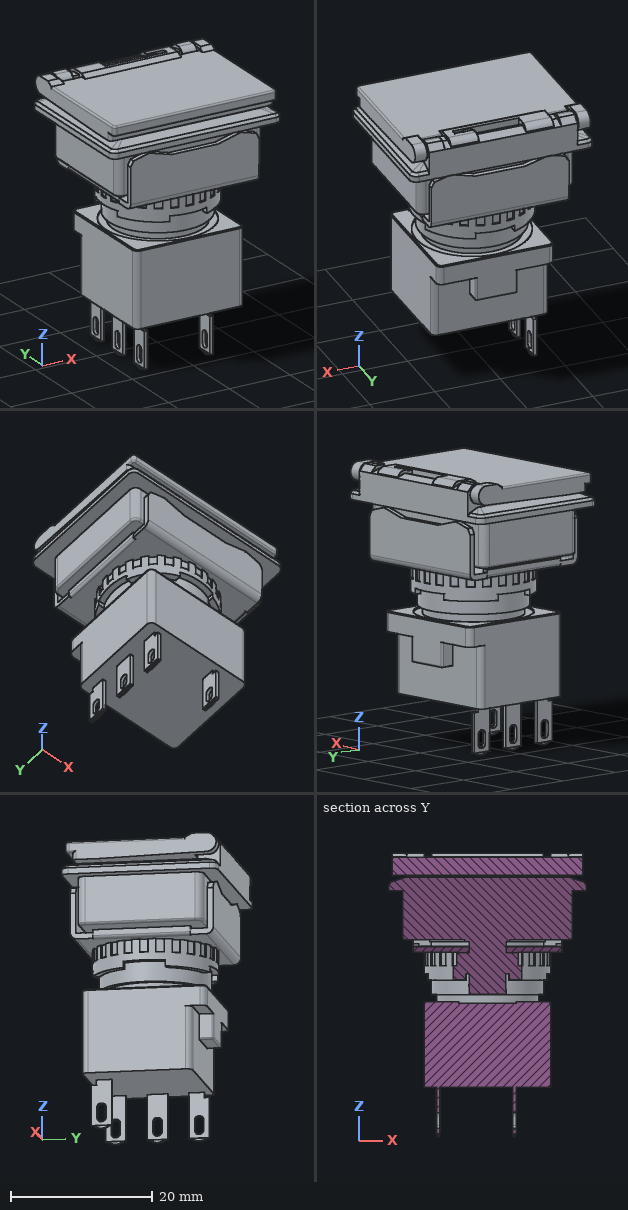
import cadquery as cq
import math


overall_height = 40.1
terminal_length = 6.98
top_z = overall_height - terminal_length

block_width = 17.92
block_height = 12.1
block_corner_radius = 0.9
block_top_chamfer = 0.15
recess_radius = 8.55
recess_depth = 0.2
overhang_z = 9.15
lower_back_y = 6.9
latch_width = 6.4
latch_bottom_z = 5.5
latch_edge_radius = 0.25
terminal_thickness = 0.52
terminal_width = 2.93
terminal_pitch = 6.0
terminal_middle_y = -1.0
terminal_row_x = -6.98
single_terminal_x = 3.8
terminal_shoulder_step = 0.75
terminal_shoulder_drop = 0.72
terminal_tip_height = 0.4
terminal_tip_width = 2.25
terminal_tip_thickness = 0.3
solder_slot_width = 1.3
solder_slot_length = 2.65
solder_slot_top_drop = 3.35

neck_radius = 7.25
barrel_radius = 7.98
collar_radius = 8.2
collar_bottom_z = 20.57
barrel_bottom_z = 13.1
ring_bottom_z = 15.15
ring_notch_top_z = 16.05
ring_top_z = 19.1
ring_radius = block_width / 2
ring_notch_width = 6.0
groove_count = 24
groove_bottom_z = 17.2
groove_width = 1.2
groove_depth = 0.3

sheet = 0.85
bracket_width = 21.15
bracket_depth = 20.6
bracket_bend_radius = 1.0
lip_length = 14.05
lip_height = 1.25
lip_bend_radius = 0.45
arm_shoulder_z = 25.75
arm_dip_z = 26.25
arm_corner_z = 26.6
arm_peak_z = 27.25
arm_peak_x = 7.55
arm_dip_x = 3.8
arm_corner_inset = 0.5

case_width = 23.98
case_depth = 18.05
case_bottom_z = 20.85
case_corner_radius = 1.1
case_bottom_radius = 0.32
bezel_width = 28.0
bezel_depth = 22.5
bezel_back_y = 11.45
bezel_corner_radius = 1.1
bezel_bottom_z = 27.8
bezel_rim_z = 28.67
bezel_shoulder_z = 29.1
bezel_top_z = 29.75
bezel_shoulder_inset = 0.4
bezel_slope_run_x = 2.0
bezel_slope_run_y = 1.52
bezel_top_corner_radius = 0.25

pivot_y = 9.9
rail_back_z = 32.15
rail_top_z = 32.7
rail_front_y = 8.42
knuckle_inner_x = 8.95
knuckle_outer_x = 11.4
knuckle_front_y = 8.22
knuckle_flat_front_y = 9.45
knuckle_chamfer = 0.95

lid_width = 26.95
lid_front_y = -10.45
lid_body_front_y = -9.42
lid_top_z = 32.6
lid_slab_bottom_z = 31.0
lid_bottom_z = 29.95
lid_hinge_bottom_z = 30.35
lid_plate_back_y = 7.95
lid_slope_start_y = -5.6
lid_corner_radius = 0.52
lid_edge_radius = 0.3
raised_flat_front_y = 7.78
raised_slope_front_y = 6.78
ear_chamfer = 0.25
pad_width = 15.8
window_width = 7.2
window_front_y = rail_front_y
pocket_length = 2.9
pocket_width = 0.8
pocket_depth = 0.35
pocket_step_depth = 0.15


def slab(width, depth, bottom_z, top, center_y=0.0):
    """Rectangular block centred on X, between two heights."""
    return cq.Workplane("XY").box(width, depth, top - bottom_z, centered=(True, True, False)).translate(
        (0, center_y, bottom_z)
    )


def disc(radius, bottom_z, top):
    """Cylinder on the barrel axis."""
    return cq.Workplane("XY").workplane(offset=bottom_z).circle(radius).extrude(top - bottom_z)


def along_x(profile, x_start, x_end):
    """Extrude a closed YZ profile, given as a function of a workplane, between two X positions."""
    return profile(cq.Workplane("YZ").workplane(offset=x_start)).extrude(x_end - x_start)


def make_terminal(x, y, shoulder_side):
    """Flat solder tag; shoulder_side is +1 or -1 for a relieved Y edge, 0 for straight edges."""
    blade_length = terminal_length - terminal_tip_height
    blade = cq.Workplane("XY").box(
        terminal_thickness, terminal_width, blade_length, centered=(True, True, False)
    ).translate((0, 0, -blade_length))
    half_tip = terminal_tip_width / 2
    tip = (
        cq.Workplane("YZ")
        .moveTo(-half_tip, -blade_length)
        .threePointArc((0, -terminal_length), (half_tip, -blade_length))
        .close()
        .extrude(terminal_tip_thickness / 2, both=True)
    )
    slot = (
        cq.Workplane("YZ")
        .center(0, -solder_slot_top_drop - solder_slot_length / 2)
        .slot2D(solder_slot_length, solder_slot_width, 90)
        .extrude(terminal_thickness, both=True)
    )
    tag = blade.union(tip).cut(slot)
    if shoulder_side:
        relief_y = shoulder_side * (terminal_width - terminal_shoulder_step) / 2
        relief = cq.Workplane("XY").box(
            terminal_thickness, terminal_shoulder_step, terminal_shoulder_drop, centered=(True, True, False)
        )
        tag = tag.cut(relief.translate((0, relief_y, -terminal_shoulder_drop)))
    return tag.translate((x, y, 0))


def make_contact_block():
    half = block_width / 2
    body = slab(block_width, block_width, 0, block_height).edges("|Z").fillet(block_corner_radius)
    body = body.faces(">Z").edges().chamfer(block_top_chamfer)

    lower_depth = half + lower_back_y
    lower = slab(block_width, lower_depth, 0, overhang_z, lower_back_y - lower_depth / 2)
    lower = lower.edges("|Z").fillet(block_corner_radius)
    body = body.cut(slab(block_width, block_width, 0, overhang_z)).union(lower)
    latch_depth = half - lower_back_y
    latch = slab(latch_width, latch_depth, latch_bottom_z, overhang_z, half - latch_depth / 2)
    latch = latch.edges("not (<Y or >Z)").fillet(latch_edge_radius)
    body = body.union(latch)

    body = body.cut(disc(recess_radius, block_height - recess_depth, block_height))

    for step in (-1, 0, 1):
        y = terminal_middle_y + step * terminal_pitch
        body = body.union(make_terminal(terminal_row_x, y, step))
    body = body.union(make_terminal(single_terminal_x, terminal_middle_y - terminal_pitch, -1))
    return body


def make_lock_ring():
    ring = disc(ring_radius, ring_bottom_z, ring_top_z)
    for angle in (0, 90):
        notch = slab(2 * ring_radius, ring_notch_width, ring_bottom_z, ring_notch_top_z)
        ring = ring.cut(notch.rotate((0, 0, 0), (0, 0, 1), angle))
    groove = cq.Workplane("XY").box(
        2 * groove_depth, groove_width, ring_top_z - groove_bottom_z, centered=(True, True, False)
    ).translate((ring_radius, 0, groove_bottom_z))
    for index in range(groove_count):
        ring = ring.cut(groove.rotate((0, 0, 0), (0, 0, 1), index * 360 / groove_count))
    return ring


def bezel_outline(z, radius, inset_x=0.0, inset_y=0.0):
    """Rounded bezel outline, moved inward and placed at a height."""
    center_y = bezel_back_y - bezel_depth / 2
    sketch = cq.Sketch().rect(bezel_width - 2 * inset_x, bezel_depth - 2 * inset_y).vertices().fillet(radius)
    return sketch.moved(cq.Location(cq.Vector(0, center_y, z)))


def make_bezel():
    bezel = cq.Workplane("XY").placeSketch(bezel_outline(bezel_bottom_z, bezel_corner_radius))
    bezel = bezel.extrude(bezel_rim_z - bezel_bottom_z)

    shoulder = bezel_shoulder_inset
    levels = (
        bezel_outline(bezel_rim_z, bezel_corner_radius),
        bezel_outline(bezel_shoulder_z, bezel_corner_radius - shoulder, shoulder, shoulder),
        bezel_outline(
            bezel_top_z, bezel_top_corner_radius, shoulder + bezel_slope_run_x, shoulder + bezel_slope_run_y
        ),
    )
    for lower, upper in zip(levels, levels[1:]):
        bezel = bezel.union(cq.Workplane("XY").placeSketch(lower, upper).loft(ruled=True))
    return bezel


def front_arc_middle(front_y, flat_z, radius):
    """Middle point of the quarter arc that joins a flat top to a vertical front."""
    setback = radius * (1 - math.sqrt(0.5))
    return (front_y + setback, flat_z - setback)


def rail_profile(plane):
    """Hinge rail under the lid pad: sloped back, flank curving down at the front."""
    drop = pivot_y - rail_front_y
    return (
        plane.moveTo(bezel_back_y, bezel_bottom_z)
        .lineTo(bezel_back_y, rail_back_z)
        .lineTo(pivot_y, rail_top_z)
        .threePointArc(front_arc_middle(rail_front_y, rail_top_z, drop), (rail_front_y, rail_top_z - drop))
        .lineTo(rail_front_y, bezel_bottom_z)
        .close()
    )


def rail_end_profile(plane):
    """Hinge rail between pad and knuckle: sloped back and flat top."""
    return plane.polyline(
        [
            (bezel_back_y, bezel_bottom_z),
            (bezel_back_y, rail_back_z),
            (pivot_y, rail_top_z),
            (rail_front_y, rail_top_z),
            (rail_front_y, bezel_bottom_z),
        ]
    ).close()


def knuckle_profile(plane):
    """Hinge knuckle: chamfered back, flat top, rounded front."""
    drop = knuckle_flat_front_y - knuckle_front_y
    return (
        plane.moveTo(bezel_back_y, bezel_bottom_z)
        .lineTo(bezel_back_y, top_z - knuckle_chamfer)
        .lineTo(bezel_back_y - knuckle_chamfer, top_z)
        .lineTo(knuckle_flat_front_y, top_z)
        .threePointArc(front_arc_middle(knuckle_front_y, top_z, drop), (knuckle_front_y, top_z - drop))
        .lineTo(knuckle_front_y, bezel_bottom_z)
        .close()
    )


def make_hinge_rail():
    half_pad = pad_width / 2
    rail = along_x(rail_profile, -half_pad, half_pad)
    for start, end in ((-knuckle_inner_x, -half_pad), (half_pad, knuckle_inner_x)):
        rail = rail.union(along_x(rail_end_profile, start, end))
    return rail


def make_housing():
    case = slab(case_width, case_depth, case_bottom_z, bezel_bottom_z).edges("|Z").fillet(case_corner_radius)
    case = case.faces("<Z").edges().fillet(case_bottom_radius)
    neck = disc(neck_radius, block_height - recess_depth, barrel_bottom_z)
    barrel = disc(barrel_radius, barrel_bottom_z, case_bottom_z)
    barrel = barrel.union(disc(collar_radius, collar_bottom_z, case_bottom_z))
    housing = make_bezel().union(case).union(barrel).union(neck).union(make_lock_ring())
    housing = housing.union(make_hinge_rail())
    for start in (-knuckle_outer_x, knuckle_inner_x):
        housing = housing.union(along_x(knuckle_profile, start, start + knuckle_outer_x - knuckle_inner_x))
    return housing


def make_bracket():
    half_width = bracket_width / 2
    channel = slab(bracket_width, bracket_depth, ring_top_z, arm_peak_z)
    channel = channel.edges("|X and <Z").fillet(bracket_bend_radius)
    inner = slab(bracket_width, bracket_depth - 2 * sheet, ring_top_z + sheet, arm_peak_z)
    channel = channel.cut(inner.edges("|X and <Z").fillet(bracket_bend_radius - sheet))

    right_side = [
        (arm_dip_x, arm_dip_z),
        (arm_peak_x, arm_peak_z),
        (half_width - arm_corner_inset, arm_corner_z),
        (half_width, arm_shoulder_z),
    ]
    left_side = [(-x, z) for x, z in reversed(right_side)]
    outline = [(half_width, ring_top_z), (-half_width, ring_top_z)] + left_side + right_side
    arm_shape = cq.Workplane("XZ").polyline(outline).close().extrude(bracket_depth, both=True)
    channel = channel.intersect(arm_shape)

    lip_center_x = half_width - sheet / 2
    for center_x, outer_side in ((-lip_center_x, "<X"), (lip_center_x, ">X")):
        corner = slab(sheet, lip_length, ring_top_z, ring_top_z + sheet)
        lip = slab(sheet, lip_length, ring_top_z, ring_top_z + lip_height)
        lip = lip.faces(outer_side).edges("<Z").fillet(lip_bend_radius)
        channel = channel.cut(corner.translate((center_x, 0, 0)))
        channel = channel.union(lip.translate((center_x, 0, 0)))
    return channel.cut(disc(barrel_radius, ring_top_z, case_bottom_z))


def underside_z(y):
    """Height of the sloped underside of the lid."""
    slope = (lid_hinge_bottom_z - lid_bottom_z) / (pivot_y - lid_slope_start_y)
    return lid_bottom_z + slope * (y - lid_slope_start_y)


def raised_profile(plane):
    """Section of the lid through an ear or the pad, with its round hinge end."""
    hinge_radius = (top_z - lid_hinge_bottom_z) / 2
    return (
        plane.moveTo(raised_slope_front_y, underside_z(raised_slope_front_y))
        .lineTo(pivot_y, lid_hinge_bottom_z)
        .threePointArc((pivot_y + hinge_radius, top_z - hinge_radius), (pivot_y, top_z))
        .lineTo(raised_flat_front_y, top_z)
        .lineTo(raised_slope_front_y, lid_top_z)
        .close()
    )


def plate_profile(plane):
    """Section of the lid plate, with the finger lip at the front."""
    return plane.polyline(
        [
            (lid_front_y, lid_top_z),
            (lid_front_y, lid_slab_bottom_z),
            (lid_body_front_y, lid_slab_bottom_z),
            (lid_body_front_y, lid_bottom_z),
            (lid_slope_start_y, lid_bottom_z),
            (lid_plate_back_y, underside_z(lid_plate_back_y)),
            (lid_plate_back_y, lid_top_z),
        ]
    ).close()


def make_lid():
    half_width = lid_width / 2
    plate = along_x(plate_profile, -half_width, half_width)
    plate = plate.edges("|Z and (not >Y)").fillet(lid_corner_radius)
    plate = plate.faces(">Z").edges().fillet(lid_edge_radius)
    plate = plate.faces("<Y").edges("<Z").fillet(lid_edge_radius)

    lid = plate.union(along_x(raised_profile, -pad_width / 2, pad_width / 2))
    left_ear = along_x(raised_profile, -half_width, -knuckle_outer_x)
    right_ear = along_x(raised_profile, knuckle_outer_x, half_width)
    lid = lid.union(left_ear.faces(">X").edges(">Z").chamfer(ear_chamfer))
    lid = lid.union(right_ear.faces("<X").edges(">Z").chamfer(ear_chamfer))

    window_depth = bezel_back_y - window_front_y
    window = slab(window_width, window_depth, lid_bottom_z, top_z, window_front_y + window_depth / 2)
    pocket_y = window_front_y + pocket_width / 2
    deep_start_x = (window_width + pocket_length) / 2
    shallow = slab(pocket_length, pocket_width, top_z - pocket_step_depth, top_z, pocket_y)
    deep = slab(pocket_length / 2, pocket_width, top_z - pocket_depth, top_z, pocket_y)
    lid = lid.cut(window)
    lid = lid.cut(shallow.translate((deep_start_x, 0, 0)))
    lid = lid.cut(deep.translate((deep_start_x + pocket_length / 4, 0, 0)))
    return lid.cut(make_hinge_rail())


contact_block = make_contact_block()
housing = make_housing()
bracket = make_bracket()
lid = make_lid()

result = cq.Compound.makeCompound([contact_block.val(), housing.val(), bracket.val(), lid.val()])